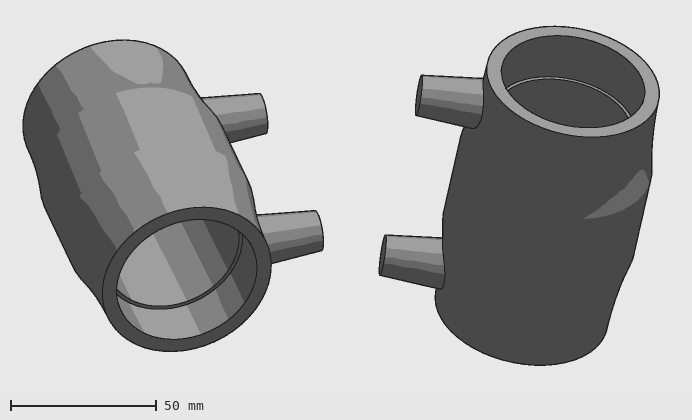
import cadquery as cq
import math

length = 101.0
half_length = length / 2
band_length = length / 3
middle_diameter = 67.0
end_diameter = 60.2

socket_diameter = 50.0
stop_diameter = 47.5
socket_depth = 18.2

terminal_tip_y = 51.0
terminal_tip_diameter = 14.0
terminal_draft_angle = 5.0
terminal_root_y = 27.3
terminal_offset = 35.4


def make_sleeve():
    """Cylindrical band flanked by concave flares that run level at the ends."""
    band_half = band_length / 2
    middle_radius = middle_diameter / 2
    end_radius = end_diameter / 2
    flare_length = half_length - band_half
    rise = middle_radius - end_radius
    flare_radius = (flare_length**2 + rise**2) / (2 * rise)
    half_run = flare_length / 2
    mid_x = half_length - half_run
    mid_radius = end_radius + flare_radius - math.sqrt(flare_radius**2 - half_run**2)
    return (
        cq.Workplane("XY")
        .moveTo(-half_length, 0)
        .lineTo(-half_length, end_radius)
        .threePointArc((-mid_x, mid_radius), (-band_half, middle_radius))
        .lineTo(band_half, middle_radius)
        .threePointArc((mid_x, mid_radius), (half_length, end_radius))
        .lineTo(half_length, 0)
        .close()
        .revolve(360, (0, 0, 0), (1, 0, 0))
    )


def make_terminal(x):
    """Solid tapered peg that starts inside the sleeve wall."""
    height = terminal_tip_y - terminal_root_y
    tip_radius = terminal_tip_diameter / 2
    root_radius = tip_radius + height * math.tan(math.radians(terminal_draft_angle))
    peg = cq.Solid.makeCone(
        root_radius, tip_radius, height, cq.Vector(x, terminal_root_y, 0), cq.Vector(0, 1, 0)
    )
    return cq.Workplane(obj=peg)


def make_bore():
    """Narrow through bore with a wider socket entering from each end."""
    bore = cq.Workplane("YZ", origin=(-half_length, 0, 0)).circle(stop_diameter / 2).extrude(length)
    for socket_start in (-half_length, half_length - socket_depth):
        socket = (
            cq.Workplane("YZ", origin=(socket_start, 0, 0))
            .circle(socket_diameter / 2)
            .extrude(socket_depth)
        )
        bore = bore.union(socket)
    return bore


body = make_sleeve()
for side in (-1, 1):
    body = body.union(make_terminal(side * terminal_offset))

result = body.cut(make_bore())